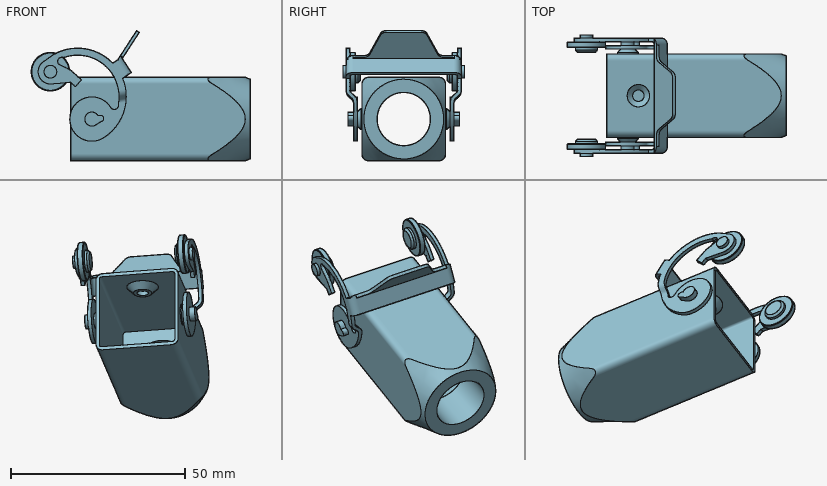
import cadquery as cq
import math


hood_width = 24.0
hood_length = 51.6
hood_corner_radius = 1.95
wall = 1.0
cavity_depth = 39
cavity_corner_radius = 0.75
cable_hole_radius = 7.6
nose_end_radius = 11.45
nose_slope = 0.39

dimple_x = 9.1
dimple_outer_radius = 3.2
dimple_hole_radius = 1.65
dimple_depth = 2.9

sheet = 1.1
arm_outer_y = 16.55
arm_jog = 2.15
jog_angle = 40
jog_tilt = 12
jog_x = 14.8
jog_z = 6.2
jog_start_x = 11.3
jog_bend_radius = 1.4
jog_half_height = 25.15
inner_plate_top = 6.9

pivot_x = 6.1
pivot_disc_radius = 6.35
pivot_pin_radius = 2.0
pivot_pin_end_y = 16.05
pivot_nub_radius = 0.9
pivot_nub_offset = 2.5
pivot_nub_z = 0.2
boss_radius = 3.0
boss_rim = 0.3
boss_tip_radius = 2.15

band_x = 2.0
band_z = 6.4
band_width = 2.1
band_outer_radius = math.hypot(pivot_x - band_x, band_z) + pivot_disc_radius
band_inner_radius = band_outer_radius - band_width
band_outer_start = 118
band_inner_start = -10
band_inner_end = 110

disc_gap_angle = 33
disc_gap_bottom = (12.6, 2.75)
roller_gap_middle = (-3.7, 16.55)
roller_gap_end = (-2.9, 15.5)

hook_tip = [(0, 14.1), (3.15, 11.25), (1.4, 9.3), (0, 10.5)]

roller_x = -5.8
roller_z = 13.6
roller_radius = 5.55
roller_edge = 0.2
roller_outer_y = 15.5
roller_thickness = 1.7
arm_end_radius = 3.5
arm_end_start = -88
arm_end_finish = 132
hub_radius = 3.2
hub_height = 1.3
hub_chamfer = 0.6
roller_pin_radius = 1.8
overall_width = 34.9

bridge_angle = 33
bridge_outer_radius = 16.7
bridge_length = 5.2
bridge_bend_radius = 2.0
bridge_leg = 3.45
tab_base_x = 13.65
tab_base_z = 17.25
tab_sheet = 0.95
tab_length = 9.75
tab_strip_height = 1.2
tab_base_half_width = 10.2
tab_end_half_width = 6.2
tab_corner_radius = 1.9

hood_half = hood_width / 2


def at(centre_x, centre_z, radius, degrees):
    """Point in the XZ plane at an angle around a centre."""
    angle = math.radians(degrees)
    return (centre_x + radius * math.cos(angle), centre_z + radius * math.sin(angle))


def y_workplane(y):
    """XZ workplane at a given Y, facing -Y."""
    return cq.Workplane("XZ", origin=(0, y, 0))


def y_turned(x, z, profile):
    """Solid turned about a Y-directed axis from (radius, y) points."""
    return (
        cq.Workplane("XY", origin=(x, 0, z))
        .polyline(profile)
        .close()
        .revolve(360, (0, 0, 0), (0, 1, 0))
    )


def z_turned(profile):
    """Solid turned about the dimple axis from (radius, z) points."""
    return (
        cq.Workplane("XZ", origin=(dimple_x, 0, 0))
        .polyline(profile)
        .close()
        .revolve(360, (0, 0, 0), (0, 1, 0))
    )


def make_hood():
    body = (
        cq.Workplane("YZ")
        .rect(hood_width, hood_width)
        .extrude(hood_length)
        .edges("|X")
        .fillet(hood_corner_radius)
    )
    nose_envelope = (
        cq.Workplane("XY")
        .polyline([
            (0, 0),
            (0, nose_end_radius + nose_slope * hood_length),
            (hood_length, nose_end_radius),
            (hood_length, 0),
        ])
        .close()
        .revolve(360, (0, 0, 0), (1, 0, 0))
    )
    cavity = (
        cq.Workplane("YZ")
        .rect(hood_width - 2 * wall, hood_width - 2 * wall)
        .extrude(cavity_depth)
        .edges("|X")
        .fillet(cavity_corner_radius)
    )
    cable_hole = cq.Workplane("YZ").circle(cable_hole_radius).extrude(hood_length)
    return body.intersect(nose_envelope).cut(cavity).cut(cable_hole)


def add_dimple(hood):
    top = hood_half
    bottom = top - dimple_depth
    inside = top - wall
    cone_depth = dimple_outer_radius - dimple_hole_radius
    skin_radius = dimple_hole_radius + wall
    skin_cone = dimple_depth - wall
    skin = z_turned([
        (0, bottom),
        (skin_radius, bottom),
        (skin_radius + skin_cone, inside),
        (0, inside),
    ])
    hole = z_turned([
        (0, bottom),
        (dimple_hole_radius, bottom),
        (dimple_hole_radius, top - cone_depth),
        (dimple_outer_radius, top),
        (0, top),
    ])
    return hood.union(skin).cut(hole)


def make_arm_outline():
    """Flat shape of one arm, thick enough in Y to hold the jogged sheet."""
    band_end = math.degrees(math.atan2(-band_z, pivot_x - band_x))

    def band_outer(degrees):
        return at(band_x, band_z, band_outer_radius, degrees)

    def band_inner(degrees):
        return at(band_x, band_z, band_inner_radius, degrees)

    def disc(degrees):
        return at(pivot_x, 0, pivot_disc_radius, degrees)

    def arm_end(degrees):
        return at(roller_x, roller_z, arm_end_radius, degrees)

    outline = (
        y_workplane(arm_outer_y)
        .moveTo(*band_outer(band_outer_start))
        .threePointArc(band_outer((band_outer_start + band_end) / 2), disc(band_end))
        .threePointArc(disc(180), disc(disc_gap_angle))
        .threePointArc(disc_gap_bottom, band_inner(band_inner_start))
        .threePointArc(band_inner((band_inner_start + band_inner_end) / 2), band_inner(band_inner_end))
        .threePointArc(roller_gap_middle, roller_gap_end)
    )
    for point in hook_tip:
        outline = outline.lineTo(*point)
    return (
        outline.lineTo(*arm_end(arm_end_start))
        .threePointArc(arm_end(180), arm_end(arm_end_finish))
        .close()
        .extrude(sheet + arm_jog)
    )


def make_jogged_sheet():
    """Sheet lying outside at the top and stepping inwards towards the pivot."""
    reach = 37.75
    outer_in = arm_outer_y - sheet
    inner_out = arm_outer_y - arm_jog
    inner_in = inner_out - sheet
    outer_plate = (
        cq.Workplane("XY")
        .box(reach, sheet, reach, centered=False)
        .translate((jog_start_x - reach, outer_in, inner_plate_top))
    )
    inner_plate = (
        cq.Workplane("XY")
        .box(reach, sheet, reach, centered=False)
        .translate((jog_start_x - reach, inner_in, inner_plate_top - reach))
    )

    slope = math.radians(jog_angle)
    jog_rise = arm_jog * math.tan(slope)
    low_out = -jog_rise / 2
    high_out = jog_rise / 2
    rise_in = sheet * (1 / math.cos(slope) - math.tan(slope))
    tilt = math.radians(jog_tilt)
    bend_plane = cq.Plane(
        origin=(jog_x, 0, jog_z),
        xDir=(0, 1, 0),
        normal=(math.cos(tilt), 0, math.sin(tilt)),
    )
    tight_corners = [(inner_out, low_out), (outer_in, high_out + rise_in)]
    wide_corners = [(arm_outer_y, high_out), (inner_in, low_out + rise_in)]
    jog = (
        cq.Workplane(bend_plane)
        .polyline([
            (arm_outer_y, jog_half_height),
            wide_corners[0],
            tight_corners[0],
            (inner_out, -jog_half_height),
            (inner_in, -jog_half_height),
            wide_corners[1],
            tight_corners[1],
            (outer_in, jog_half_height),
        ])
        .close()
        .extrude(reach / 2, both=True)
    )
    wide_radius = jog_bend_radius + sheet
    for corners, radius in ((tight_corners, jog_bend_radius), (wide_corners, wide_radius)):
        for corner in corners:
            bend = bend_plane.toWorldCoords(corner)
            jog = jog.edges(cq.NearestToPointSelector(bend.toTuple())).fillet(radius)
    past_start = (
        cq.Workplane("XY")
        .box(reach, reach, 2 * reach, centered=(False, True, True))
        .translate((jog_start_x, arm_outer_y, 0))
    )
    return outer_plate.union(inner_plate).union(jog.intersect(past_start))


def make_roller():
    disc_in = roller_outer_y - roller_thickness
    hub_end = disc_in - hub_height
    return y_turned(roller_x, roller_z, [
        (0, hub_end),
        (hub_radius - hub_chamfer, hub_end),
        (hub_radius, hub_end + hub_chamfer),
        (hub_radius, disc_in),
        (roller_radius - roller_edge, disc_in),
        (roller_radius, disc_in + roller_edge),
        (roller_radius, roller_outer_y - roller_edge),
        (roller_radius - roller_edge, roller_outer_y),
        (roller_pin_radius, roller_outer_y),
        (roller_pin_radius, overall_width / 2),
        (0, overall_width / 2),
    ])


def make_pivot():
    """Conical boss on the hood wall, and its pin with a rounded nub."""
    boss_tip_y = arm_outer_y - arm_jog - sheet
    root_y = hood_half - wall / 2
    boss = y_turned(pivot_x, 0, [
        (0, root_y),
        (boss_radius, root_y),
        (boss_radius, hood_half + boss_rim),
        (boss_tip_radius, boss_tip_y),
        (pivot_pin_radius, boss_tip_y),
        (pivot_pin_radius, pivot_pin_end_y),
        (0, pivot_pin_end_y),
    ])
    nub_reach = math.hypot(pivot_nub_offset, pivot_nub_z)
    nub_direction = math.degrees(math.atan2(pivot_nub_z, pivot_nub_offset))
    taper = math.degrees(math.acos((pivot_pin_radius - pivot_nub_radius) / nub_reach))
    tangent = nub_direction - taper
    nub_x = pivot_x + pivot_nub_offset
    nub = (
        y_workplane(pivot_pin_end_y)
        .moveTo(pivot_x, pivot_nub_z + pivot_nub_radius)
        .lineTo(nub_x, pivot_nub_z + pivot_nub_radius)
        .threePointArc(
            at(nub_x, pivot_nub_z, pivot_nub_radius, 0),
            at(nub_x, pivot_nub_z, pivot_nub_radius, tangent),
        )
        .lineTo(*at(pivot_x, 0, pivot_pin_radius, tangent))
        .lineTo(pivot_x, 0)
        .close()
        .extrude(pivot_pin_end_y - boss_tip_y)
    )
    return boss.union(nub)


def bridge_block(half_width, top, bend_radius, length):
    """Block across the hood, rounded along the two edges facing away from the band centre."""
    angle = math.radians(bridge_angle)
    middle_x, middle_z = at(band_x, band_z, bridge_outer_radius, bridge_angle)
    plane = cq.Plane(
        origin=(middle_x, 0, middle_z),
        xDir=(0, 1, 0),
        normal=(math.sin(angle), 0, -math.cos(angle)),
    )
    return (
        cq.Workplane(plane)
        .center(0, (top - bridge_leg) / 2)
        .rect(2 * half_width, top + bridge_leg)
        .extrude(length / 2, both=True)
        .edges(cq.ParallelDirSelector(plane.zDir))
        .edges(cq.DirectionMinMaxSelector(plane.yDir))
        .fillet(bend_radius)
    )


def make_bridge():
    """U-shaped strip over the hood, its legs running into the arms."""
    outer = bridge_block(arm_outer_y, 0, bridge_bend_radius, bridge_length)
    inner_radius = bridge_bend_radius - sheet
    return outer.cut(bridge_block(arm_outer_y - sheet, -sheet, inner_radius, bridge_length))


def make_finger_tab():
    """Tapered tab with a strip along its base that follows the bends of the bridge."""
    angle = math.radians(bridge_angle)
    plane = cq.Plane(
        origin=(tab_base_x, 0, tab_base_z),
        xDir=(0, 1, 0),
        normal=(math.cos(angle), 0, -math.sin(angle)),
    )
    flat_half_width = arm_outer_y - bridge_bend_radius
    base_corners = [(side * tab_base_half_width, tab_strip_height) for side in (-1, 1)]
    end_corners = [(side * tab_end_half_width, tab_length) for side in (-1, 1)]
    tab = (
        cq.Workplane(plane)
        .polyline([
            (-flat_half_width, 0),
            (-flat_half_width, tab_strip_height),
            base_corners[0],
            end_corners[0],
            end_corners[1],
            base_corners[1],
            (flat_half_width, tab_strip_height),
            (flat_half_width, 0),
        ])
        .close()
        .extrude(tab_sheet)
    )
    for x, y in base_corners + end_corners:
        corner = plane.toWorldCoords((x, y, tab_sheet / 2))
        tab = tab.edges(cq.NearestToPointSelector(corner.toTuple())).fillet(tab_corner_radius)

    base_strip = (
        cq.Workplane(plane)
        .center(0, tab_strip_height / 2)
        .rect(2 * arm_outer_y, tab_strip_height)
        .extrude(tab_sheet)
    )
    bend_envelope = bridge_block(arm_outer_y, 0, bridge_bend_radius, 2 * bridge_length)
    return tab.union(base_strip.intersect(bend_envelope))


arm = make_arm_outline().intersect(make_jogged_sheet())
side_parts = arm.union(make_roller()).union(make_pivot())

result = (
    add_dimple(make_hood())
    .union(side_parts)
    .union(side_parts.mirror("XZ"))
    .union(make_bridge())
    .union(make_finger_tab())
)